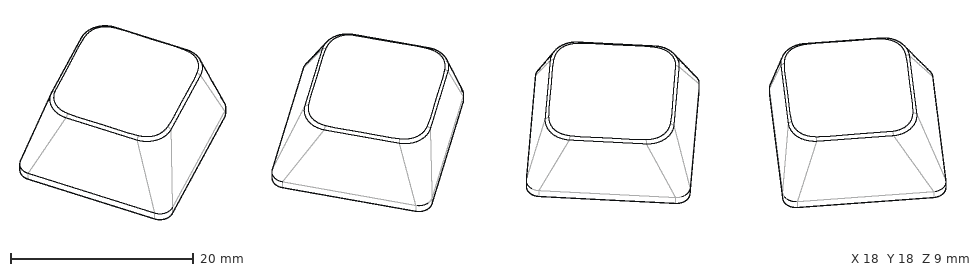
import cadquery as cq

base_side = 18.0
base_corner_radius = 1.5
total_height = 9.0
skirt_height = 1.0
top_side = 14.0
top_corner_radius = 2.9
top_shift_y = 1.0
edge_bevel = 0.3


def rounded_square(side, radius):
    """Square sketch with rounded corners, centred on its origin."""
    return cq.Sketch().rect(side, side).vertices().fillet(radius)


base_outline = rounded_square(base_side, base_corner_radius)
skirt = cq.Workplane("XY").placeSketch(base_outline).extrude(skirt_height)

taper_height = total_height - skirt_height
top_outline = rounded_square(top_side, top_corner_radius)
taper = (
    cq.Workplane("XY")
    .workplane(offset=skirt_height)
    .placeSketch(
        base_outline,
        top_outline.moved(cq.Location(cq.Vector(0, top_shift_y, taper_height))),
    )
    .loft(ruled=True)
)

taper = taper.faces(">Z").edges().chamfer(edge_bevel)

result = skirt.union(taper)